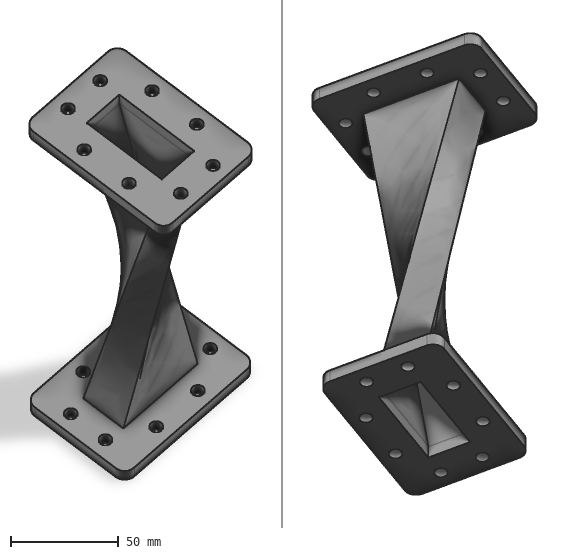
import cadquery as cq

total_height = 200.0
flange_length = 89.0
flange_width = 63.5
flange_thickness = 7.0
flange_corner_radius = 6.0

tube_length = 50.8
tube_width = 25.5
wall = 1.5
bore_length = tube_length - 2 * wall
bore_width = tube_width - 2 * wall

bolt_hole_diameter = 6.5
long_side_hole = (14.2, 23.2)
short_side_hole = (35.8, 11.0)

twist_angle = 90
twist_bottom = flange_thickness
twist_top = total_height - flange_thickness


def four_corners(x, y):
    """The point (x, y) mirrored into all four quadrants, in counterclockwise order."""
    return [(x, y), (-x, y), (-x, -y), (x, -y)]


def twisted_prism(length, width):
    """Solid between a rectangle at the top and the same one turned a quarter turn at the bottom.

    Each corner runs down a straight line, so each side is a ruled surface.
    """
    outline = four_corners(length / 2, width / 2)
    top = [cq.Vector(x, y, twist_top) for x, y in outline]
    bottom = [cq.Vector(y, -x, twist_bottom) for x, y in outline]

    faces = []
    for points in (top, bottom):
        faces.append(cq.Face.makeFromWires(cq.Wire.makePolygon(points, close=True)))
    for i in range(len(outline)):
        j = (i + 1) % len(outline)
        lower_edge = cq.Edge.makeLine(bottom[i], bottom[j])
        upper_edge = cq.Edge.makeLine(top[i], top[j])
        faces.append(cq.Face.makeRuledSurface(lower_edge, upper_edge))
    solid = cq.Solid.makeSolid(cq.Shell.makeShell(faces))
    return cq.Workplane(obj=solid.fix())


def flange():
    """Flange with its long side along X, standing on Z = 0."""
    hole_centers = four_corners(*long_side_hole) + four_corners(*short_side_hole)
    plate = (
        cq.Workplane()
        .rect(flange_length, flange_width)
        .extrude(flange_thickness)
        .edges("|Z")
        .fillet(flange_corner_radius)
    )
    holes = (
        cq.Workplane()
        .pushPoints(hole_centers)
        .circle(bolt_hole_diameter / 2)
        .extrude(flange_thickness)
    )
    opening = cq.Workplane().rect(bore_length, bore_width).extrude(flange_thickness)
    return plate.cut(holes).cut(opening)


tube = twisted_prism(tube_length, tube_width).cut(twisted_prism(bore_length, bore_width))
top_flange = flange().translate((0, 0, twist_top))
bottom_flange = flange().rotate((0, 0, 0), (0, 0, 1), -twist_angle)

result = tube.union(top_flange).union(bottom_flange)